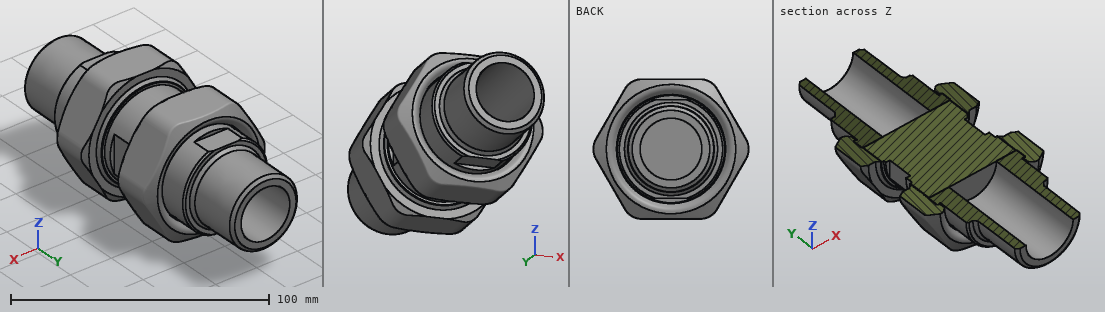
import cadquery as cq
import math


half_length = 65.68
nut_outer_face = 29.9
nut_inner_face = 10.15
nut_length = nut_outer_face - nut_inner_face
tail_shoulder = 41.1
tail_flange_thickness = 5.0

nut_across_flats = 54.1
nut_across_corners = 60.09
nut_outer_face_diameter = 50.0
nut_inner_face_diameter = 54.8
nut_chamfer_angle = math.radians(30)
nut_chamfer_round = 1.0
nut_bevel_zone_depth = 5.0
nut_face_edge_margin = 0.05
nut_lip_diameter = 42.19
nut_lip_length = 5.0
nut_countersink_diameter = 44.86
nut_countersink_angle = math.radians(45)
nut_mouth_round = 2.5
nut_hub_base_diameter = 47.6
nut_hub_tip_diameter = 44.86
nut_hub_length = (nut_hub_base_diameter - nut_hub_tip_diameter) / 2

nut_envelope_margin = 1.0

thread_diameter = 44.45
thread_protrusion = 0.4
barrel_diameter = 42.19
barrel_flat_length = 12.0
barrel_flat_middle = 1.2

bore_diameter = 23.88
flange_diameter = thread_diameter
collar_diameter = 41.5
collar_chamfer = 0.8
flats_end = 31.45
pipe_tip_diameter = 30.0
pipe_tip_chamfer_length = 1.3
pipe_thread_start_diameter = 33.1
pipe_thread_end_diameter = 33.4
neck_diameter = 36.0
neck_length = 1.65

wrench_across_flats = 38.1

lip_inner_face = nut_outer_face - nut_lip_length
centre_end = lip_inner_face - tail_flange_thickness
hub_tip = nut_inner_face - nut_hub_length


def revolve_about_y(half_section):
    """Turn a closed half section, drawn with radius on X and height on Y, about the Y axis."""
    return half_section.close().revolve(360, (0, 0, 0), (0, 1, 0))


def ring_profile(points):
    """Closed section through (diameter, y) points, turned about the Y axis."""
    section = [(diameter / 2, y) for diameter, y in points]
    return revolve_about_y(cq.Workplane("XY").polyline(section))


def make_centre_body():
    thread_inner_end = hub_tip - thread_protrusion
    body = ring_profile([
        (0, -centre_end),
        (thread_diameter, -centre_end),
        (thread_diameter, -thread_inner_end),
        (barrel_diameter, -thread_inner_end),
        (barrel_diameter, thread_inner_end),
        (thread_diameter, thread_inner_end),
        (thread_diameter, centre_end),
        (0, centre_end),
    ])
    cut_size = barrel_diameter
    for side in (-1, 1):
        flat_cut = cq.Workplane("XY").box(cut_size, barrel_flat_length, cut_size)
        offset = side * (wrench_across_flats + cut_size) / 2
        body = body.cut(flat_cut.translate((offset, barrel_flat_middle, 0)))
    return body


def make_hexagon():
    """Hexagonal bar with rounded corners, flats facing +Z and -Z."""
    sharp_corner = nut_across_flats / math.sqrt(3)
    corner_excess = 2 * sharp_corner / nut_across_flats - 1
    corner_round = (sharp_corner - nut_across_corners / 2) / corner_excess
    return (
        cq.Workplane("XZ", origin=(0, nut_outer_face, 0))
        .polygon(6, 2 * sharp_corner)
        .extrude(nut_length)
        .edges("|Y")
        .fillet(corner_round)
    )


def make_nut_envelope():
    """Turned outline that bevels the nut's corners at both ends."""
    corner_radius = nut_across_corners / 2 + nut_envelope_margin
    outer_face_radius = nut_outer_face_diameter / 2
    inner_face_radius = nut_inner_face_diameter / 2
    slope = math.tan(nut_chamfer_angle)
    outer_rim = nut_outer_face - (corner_radius - outer_face_radius) * slope
    inner_rim = nut_inner_face + (corner_radius - inner_face_radius) * slope
    return ring_profile([
        (0, nut_inner_face),
        (2 * inner_face_radius, nut_inner_face),
        (2 * corner_radius, inner_rim),
        (2 * corner_radius, outer_rim),
        (2 * outer_face_radius, nut_outer_face),
        (0, nut_outer_face),
    ])


def make_nut_bore():
    """Thread space from the inner end to the lip, then a 45 degree countersink with a rounded mouth."""
    lip_radius = nut_lip_diameter / 2
    countersink_radius = nut_countersink_diameter / 2
    thread_radius = thread_diameter / 2
    half_angle = nut_countersink_angle / 2
    full_angle = nut_countersink_angle
    mouth_radius = countersink_radius + nut_mouth_round * math.sin(full_angle)
    round_start = nut_outer_face - nut_mouth_round * (1 - math.cos(full_angle))
    countersink_depth = (countersink_radius - lip_radius) / math.tan(full_angle)
    round_middle = (
        mouth_radius - nut_mouth_round * math.sin(half_angle),
        nut_outer_face - nut_mouth_round * (1 - math.cos(half_angle)),
    )
    return revolve_about_y(
        cq.Workplane("XY")
        .moveTo(0, hub_tip)
        .lineTo(thread_radius, hub_tip)
        .lineTo(thread_radius, lip_inner_face)
        .lineTo(lip_radius, lip_inner_face)
        .lineTo(lip_radius, round_start - countersink_depth)
        .lineTo(countersink_radius, round_start)
        .threePointArc(round_middle, (mouth_radius, nut_outer_face))
        .lineTo(0, nut_outer_face)
    )


def make_nut_hub():
    """Short 45 degree cone standing on the nut's inner face."""
    return ring_profile([
        (0, hub_tip),
        (nut_hub_tip_diameter, hub_tip),
        (nut_hub_base_diameter, nut_inner_face),
        (0, nut_inner_face),
    ])


def make_nut():
    blank = make_hexagon().intersect(make_nut_envelope())
    bevel_zone = cq.selectors.BoxSelector(
        (-nut_across_corners, nut_outer_face - nut_bevel_zone_depth, -nut_across_corners),
        (nut_across_corners, nut_outer_face - nut_face_edge_margin, nut_across_corners),
    )
    blank = blank.edges(bevel_zone).fillet(nut_chamfer_round)
    return blank.union(make_nut_hub()).cut(make_nut_bore())


def make_tailpiece():
    pipe_thread_end = tail_shoulder + neck_length
    body = ring_profile([
        (bore_diameter, centre_end),
        (flange_diameter, centre_end),
        (flange_diameter, lip_inner_face),
        (collar_diameter, lip_inner_face),
        (collar_diameter, tail_shoulder - collar_chamfer),
        (collar_diameter - 2 * collar_chamfer, tail_shoulder),
        (neck_diameter, tail_shoulder),
        (pipe_thread_end_diameter, pipe_thread_end),
        (pipe_thread_start_diameter, half_length - pipe_tip_chamfer_length),
        (pipe_tip_diameter, half_length),
        (bore_diameter, half_length),
    ])
    cut_size = collar_diameter
    flat_length = tail_shoulder - flats_end
    for side in (-1, 1):
        flat_cut = cq.Workplane("XY").box(cut_size, flat_length, cut_size)
        offset = side * (wrench_across_flats + cut_size) / 2
        body = body.cut(flat_cut.translate((0, flats_end + flat_length / 2, offset)))
    return body


centre_body = make_centre_body()
end_bodies = []
for turn in (0, 180):
    for part in (make_nut(), make_tailpiece()):
        end_bodies.append(part.rotate((0, 0, 0), (0, 0, 1), turn).val())

result = cq.Compound.makeCompound([centre_body.val(), *end_bodies])